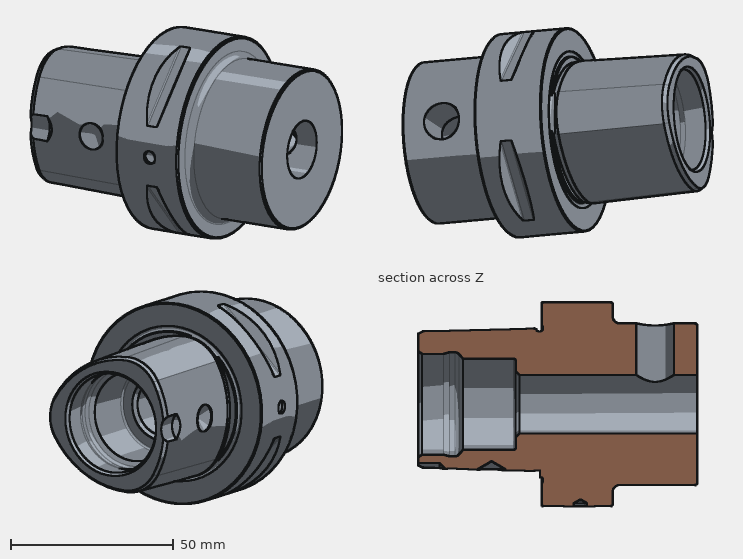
import cadquery as cq
import math

total_length = 86.0

lobe_count = 3
lobe_pitch = 360.0 / lobe_count
mean_radius = 22.06
lobe_offset = 1.41
lobe_arc_centre = 10.3
taper_slope = 1 / 40
shank_end = 35.8
shank_chamfer_length = 1.5
shank_chamfer_height = 0.8
relief_step = 0.2

neck_face_x = 37.5
neck_radius = 22.6
undercut_x = 37.4
undercut_ring_radius = 23.5
undercut_section_radius = 1.0

flange_start = 38.0
flange_end = 60.0
flange_radius = 63.0 / 2
flange_front_chamfer = 0.3
flange_back_chamfer = 0.5

nose_radius = 50.0 / 2
nose_chamfer = 0.5
nose_fillet = 2.0

slot_x = 50.0
slot_floor_distance = 28.0
slot_floor_half_width = 1.75
slot_wall_angle = 30.0
slot_corner_radius = 0.5
slot_angles = (45, 135, 225, 315)

dimple_diameter = 4.0
dimple_depth = 1.0
drill_point_angle = 120.0
shank_hole_diameter = 8.4
shank_hole_x = 22.6
shank_hole_floor_y = -20.0
key_groove_diameter = 12.0
key_groove_floor_y = -18.1
key_groove_length = 6.5
key_groove_point_angle = 90.0

mouth_radius = 16.3
entry_radius = 15.5
mouth_chamfer_length = 1.2
groove_start = 7.8
groove_lead_end = 9.6
groove_radius = 32.0 / 2
groove_fillet = 1.7
throat_radius = 28.0 / 2
throat_start = 13.8
throat_cone_angle = 50.0
throat_floor_x = 30.0
throat_floor_fillet = 0.6
through_radius = 18.0 / 2
through_chamfer = 1.2

screw_hole_x = 73.0
screw_hole_diameter = 11.5

overcut = 1.0


def polar_point(distance, angle):
    return (distance * math.cos(math.radians(angle)), distance * math.sin(math.radians(angle)))


def polygon_wire(x, radius):
    """Lobe arcs joined tangentially by flatter arcs, in the plane at x."""
    flat_arc_centre = (
        4 * lobe_offset * (lobe_arc_centre - lobe_offset) / (lobe_arc_centre - 4 * lobe_offset)
    )
    lobe_arc_radius = radius + lobe_offset - lobe_arc_centre
    half_pitch = lobe_pitch / 2
    shift_y, shift_z = polar_point(flat_arc_centre, half_pitch)
    joint_normal = math.degrees(math.atan2(shift_z, lobe_arc_centre + shift_y))
    joint_y, joint_z = polar_point(lobe_arc_radius, joint_normal)
    joint_y += lobe_arc_centre
    joint_radius = math.hypot(joint_y, joint_z)
    joint_angle = math.degrees(math.atan2(joint_z, joint_y))

    outline = cq.Workplane("YZ", origin=(x, 0, 0)).moveTo(*polar_point(joint_radius, -joint_angle))
    for lobe in range(lobe_count):
        angle = lobe * lobe_pitch
        outline = outline.threePointArc(
            polar_point(radius + lobe_offset, angle),
            polar_point(joint_radius, angle + joint_angle),
        )
        outline = outline.threePointArc(
            polar_point(radius - lobe_offset, angle + half_pitch),
            polar_point(joint_radius, angle + lobe_pitch - joint_angle),
        )
    return outline.close().val()


def polygon_frustum(start_x, start_radius, end_x, end_radius):
    wires = [polygon_wire(start_x, start_radius), polygon_wire(end_x, end_radius)]
    return cq.Workplane(obj=cq.Solid.makeLoft(wires, True))


def make_shank():
    small_radius = mean_radius - (shank_end - shank_chamfer_length) * taper_slope
    tip_radius = small_radius - shank_chamfer_height
    relief_radius = mean_radius - relief_step
    relief_start = shank_end + relief_step
    tip = polygon_frustum(0, tip_radius, shank_chamfer_length, small_radius)
    taper = polygon_frustum(shank_chamfer_length, small_radius, shank_end, mean_radius)
    bevel = polygon_frustum(shank_end, mean_radius, relief_start, relief_radius)
    relief = polygon_frustum(relief_start, relief_radius, flange_start + overcut, relief_radius)
    return tip.union(taper).union(bevel).union(relief)


def make_flange_and_nose():
    fillet_mid = nose_fillet * (1 - math.sqrt(0.5))
    return (
        cq.Workplane("XY")
        .moveTo(neck_face_x, 0)
        .lineTo(neck_face_x, neck_radius)
        .lineTo(flange_start, neck_radius)
        .lineTo(flange_start, flange_radius - flange_front_chamfer)
        .lineTo(flange_start + flange_front_chamfer, flange_radius)
        .lineTo(flange_end - flange_back_chamfer, flange_radius)
        .lineTo(flange_end, flange_radius - flange_back_chamfer)
        .lineTo(flange_end, nose_radius + nose_fillet)
        .threePointArc(
            (flange_end + fillet_mid, nose_radius + fillet_mid),
            (flange_end + nose_fillet, nose_radius),
        )
        .lineTo(total_length - nose_chamfer, nose_radius)
        .lineTo(total_length, nose_radius - nose_chamfer)
        .lineTo(total_length, 0)
        .close()
        .revolve(360, (0, 0, 0), (1, 0, 0))
    )


def make_undercut():
    ring = cq.Solid.makeTorus(
        undercut_ring_radius, undercut_section_radius, cq.Vector(undercut_x, 0, 0), cq.Vector(1, 0, 0)
    )
    return cq.Workplane(obj=ring)


def make_bore():
    cone = math.radians(throat_cone_angle)
    cone_start_radius = groove_radius - groove_fillet * (1 - math.cos(cone))
    cone_start = throat_start - (cone_start_radius - throat_radius) / math.tan(cone)
    floor_end = cone_start - groove_fillet * math.sin(cone)
    arc_mid = (
        floor_end + groove_fillet * math.sin(cone / 2),
        groove_radius - groove_fillet * (1 - math.cos(cone / 2)),
    )
    corner_mid = throat_floor_fillet * (1 - math.sqrt(0.5))
    return (
        cq.Workplane("XY")
        .lineTo(0, mouth_radius)
        .lineTo(mouth_chamfer_length, entry_radius)
        .lineTo(groove_start, entry_radius)
        .lineTo(groove_lead_end, groove_radius)
        .lineTo(floor_end, groove_radius)
        .threePointArc(arc_mid, (cone_start, cone_start_radius))
        .lineTo(throat_start, throat_radius)
        .lineTo(throat_floor_x - throat_floor_fillet, throat_radius)
        .threePointArc(
            (throat_floor_x - corner_mid, throat_radius - corner_mid),
            (throat_floor_x, throat_radius - throat_floor_fillet),
        )
        .lineTo(throat_floor_x, through_radius + through_chamfer)
        .lineTo(throat_floor_x + through_chamfer, through_radius)
        .lineTo(total_length, through_radius)
        .lineTo(total_length, 0)
        .close()
        .revolve(360, (0, 0, 0), (1, 0, 0))
    )


def make_gripper_slot(angle):
    """Straight slot with sloping walls and rounded floor corners, turned about the tool axis."""
    depth = flange_radius - slot_floor_distance + overcut
    top_half_width = slot_floor_half_width + depth * math.tan(math.radians(slot_wall_angle))
    section = [
        (-slot_floor_half_width, 0),
        (slot_floor_half_width, 0),
        (top_half_width, depth),
        (-top_half_width, depth),
    ]
    return (
        cq.Workplane("XZ", origin=(slot_x, 0, slot_floor_distance))
        .polyline(section)
        .close()
        .extrude(flange_radius, both=True)
        .edges("<Z and |Y")
        .fillet(slot_corner_radius)
        .rotate((0, 0, 0), (1, 0, 0), angle)
    )


def make_drill(diameter, length, point_angle, start, direction):
    """Round cutter of the given full-diameter length, ending in a conical point."""
    radius = diameter / 2
    point_length = radius / math.tan(math.radians(point_angle / 2))
    base = cq.Vector(*start)
    along = cq.Vector(*direction)
    shaft = cq.Solid.makeCylinder(radius, length, base, along)
    point = cq.Solid.makeCone(radius, 0, point_length, base + along * length, along)
    return cq.Workplane(obj=shaft).union(cq.Workplane(obj=point))


def make_flange_dimple():
    start = (slot_x, -flange_radius - overcut, 0)
    return make_drill(dimple_diameter, dimple_depth + overcut, drill_point_angle, start, (0, 1, 0))


def make_shank_hole():
    start_y = -mean_radius - overcut
    depth = shank_hole_floor_y - start_y
    start = (shank_hole_x, start_y, 0)
    return make_drill(shank_hole_diameter, depth, drill_point_angle, start, (0, 1, 0))


def make_key_groove():
    start = (-overcut, key_groove_floor_y - key_groove_diameter / 2, 0)
    length = key_groove_length + overcut
    return make_drill(key_groove_diameter, length, key_groove_point_angle, start, (1, 0, 0))


def make_screw_hole():
    start = cq.Vector(screw_hole_x, 0, 0)
    length = nose_radius + overcut
    hole = cq.Solid.makeCylinder(screw_hole_diameter / 2, length, start, cq.Vector(0, 1, 0))
    return cq.Workplane(obj=hole)


def make_holder():
    body = make_shank().union(make_flange_and_nose())
    body = body.cut(make_undercut()).cut(make_bore())
    for angle in slot_angles:
        body = body.cut(make_gripper_slot(angle))
    body = body.cut(make_flange_dimple())
    body = body.cut(make_shank_hole())
    body = body.cut(make_key_groove())
    return body.cut(make_screw_hole())


holder = make_holder()

result = cq.Compound.makeCompound([holder.solids().val()])